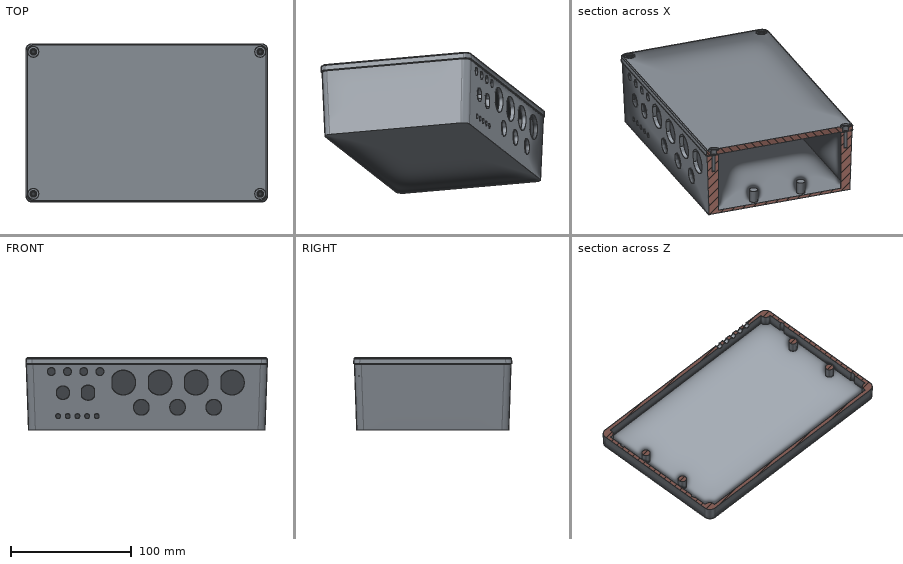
import cadquery as cq
import math

lid_length = 200.05
lid_width = 131.0
total_height = 60.0
draft_slope = math.tan(math.radians(2.0))
chamfer_slope = math.tan(math.radians(45.0))

lid_thickness = 5.0
lid_corner_radius = 5.0
lid_edge_chamfer = 1.0

gap_height = 0.5
gap_inset = 1.0

box_height = total_height - lid_thickness - gap_height
box_bottom_length = 195.9
box_bottom_width = 126.0
box_corner_radius = 5.75
wall = 3.5
floor_thickness = 3.0

screw_spacing_x = 187.8
screw_spacing_y = 117.6
counterbore_diameter = 9.0
counterbore_depth = 1.5
clearance_diameter = 5.5
pilot_diameter = 3.24
pilot_mouth_diameter = 4.76
pilot_depth = 15.0
post_diameter = 9.0

hole_rows = [
    dict(diameter=6.5, first_x=-79.1, height=48.4, pitch=13.45, count=4),
    dict(diameter=13.0, first_x=-4.5, height=18.8, pitch=30.0, count=3),
    dict(diameter=4.0, first_x=-73.4, height=11.5, pitch=8.0, count=5),
]

large_diameter = 20.5
large_flat_distance = 9.2
large_first_x = -19.45
large_height = 39.3
large_pitch = 30.0
large_count = 4

double_flat_width = 10.6
double_flat_height = 30.9
double_flat_holes = [(11.2, -69.4), (12.5, -48.6)]

groove_diameter = 5.0
groove_center_inset = 1.9
groove_y = 40.7

boss_diameter = 7.0
boss_height = 10.0
boss_x = 87.5
boss_y = 21.0


def widened(size, height, slope=draft_slope):
    """A length or width after its two sides lean outwards over the height."""
    return size + 2 * height * slope


def rounded_rectangle(size_x, size_y, radius, z):
    """A rectangle with rounded corners, lying at height z."""
    outline = cq.Sketch().rect(size_x, size_y).vertices().fillet(radius)
    return outline.moved(cq.Location((0, 0, z)))


def leaning_block(length, width, radius, bottom_z, height, slope):
    """A block with rounded corners whose four sides lean outwards by the slope."""
    low = rounded_rectangle(length, width, radius, bottom_z)
    top_length = widened(length, height, slope)
    top_width = widened(width, height, slope)
    high = rounded_rectangle(top_length, top_width, radius, bottom_z + height)
    return cq.Workplane().placeSketch(low, high).loft()


def four_points(spacing_x, spacing_y, z):
    """The corners of a centred rectangle at height z, ready for a shape on each."""
    plane = cq.Workplane().workplane(offset=z)
    return plane.rect(spacing_x, spacing_y, forConstruction=True).vertices()


def screw_cylinders(diameter, bottom_z, top_z):
    """Four upright cylinders, one on each corner screw."""
    points = four_points(screw_spacing_x, screw_spacing_y, bottom_z)
    return points.circle(diameter / 2).extrude(top_z - bottom_z)


def pilot_mouths():
    """Four cones that chamfer the pilot holes at the top of the box."""
    depth = (pilot_mouth_diameter - pilot_diameter) / 2
    cone = cq.Solid.makeCone(pilot_diameter / 2, pilot_mouth_diameter / 2, depth)
    points = four_points(screw_spacing_x, screw_spacing_y, box_height - depth)
    return points.eachpoint(lambda place: cone.moved(place))


def front_hole(x, z, diameter, left_flat=None, right_flat=None):
    """A cutter square to the leaning front wall, with a flat at each given distance from its centre."""
    face_y = -widened(box_bottom_width, z) / 2
    plane = cq.Plane((x, face_y, z), xDir=(1, 0, 0), normal=(0, 1, draft_slope))
    reach = 2 * wall
    cutter = cq.Workplane(plane).circle(diameter / 2).extrude(reach, both=True)
    left = left_flat or diameter / 2
    right = right_flat or diameter / 2
    between_flats = cq.Workplane(plane).center((right - left) / 2, 0).rect(left + right, diameter)
    return cutter.intersect(between_flats.extrude(reach, both=True))


def front_hole_cutters():
    cutters = []
    for row in hole_rows:
        for i in range(row["count"]):
            x = row["first_x"] + i * row["pitch"]
            cutters.append(front_hole(x, row["height"], row["diameter"]))
    for i in range(large_count):
        x = large_first_x + i * large_pitch
        cutters.append(front_hole(x, large_height, large_diameter, left_flat=large_flat_distance))
    for diameter, x in double_flat_holes:
        flat = double_flat_width / 2
        cutters.append(front_hole(x, double_flat_height, diameter, flat, flat))
    return cutters


def make_cavity():
    """The inside of the box, parallel to its outside and leaving a post round each corner screw."""
    cavity_height = box_height - floor_thickness
    cavity = leaning_block(
        widened(box_bottom_length, floor_thickness) - 2 * wall,
        widened(box_bottom_width, floor_thickness) - 2 * wall,
        box_corner_radius - wall,
        floor_thickness,
        cavity_height,
        draft_slope,
    )
    cavity = cavity.cut(screw_cylinders(post_diameter, floor_thickness, box_height))
    wall_spacing = widened(box_bottom_length, box_height / 2) - 2 * wall
    points = four_points(wall_spacing - 2 * groove_center_inset, 2 * groove_y, floor_thickness)
    grooves = points.circle(groove_diameter / 2).extrude(cavity_height)
    return cavity.union(grooves)


def make_box():
    box = leaning_block(box_bottom_length, box_bottom_width, box_corner_radius, 0, box_height, draft_slope)
    box = box.cut(make_cavity())
    bosses = four_points(2 * boss_x, 2 * boss_y, floor_thickness)
    box = box.union(bosses.circle(boss_diameter / 2).extrude(boss_height))
    box = box.cut(screw_cylinders(pilot_diameter, box_height - pilot_depth, box_height))
    box = box.cut(pilot_mouths())
    for cutter in front_hole_cutters():
        box = box.cut(cutter)
    return box


def make_lid():
    side_height = lid_thickness - lid_edge_chamfer
    lid_bottom = total_height - lid_thickness
    sides = leaning_block(lid_length, lid_width, lid_corner_radius, lid_bottom, side_height, -draft_slope)
    chamfer_band = leaning_block(
        widened(lid_length, side_height, -draft_slope),
        widened(lid_width, side_height, -draft_slope),
        lid_corner_radius,
        lid_bottom + side_height,
        lid_edge_chamfer,
        -chamfer_slope,
    )
    step_outline = rounded_rectangle(
        widened(box_bottom_length, box_height) - 2 * gap_inset,
        widened(box_bottom_width, box_height) - 2 * gap_inset,
        box_corner_radius - gap_inset,
        box_height,
    )
    step = cq.Workplane().placeSketch(step_outline).extrude(gap_height)
    lid = sides.union(chamfer_band).union(step)
    lid = lid.cut(screw_cylinders(clearance_diameter, box_height, total_height))
    return lid.cut(screw_cylinders(counterbore_diameter, total_height - counterbore_depth, total_height))


box = make_box()
lid = make_lid()
result = cq.Compound.makeCompound([box.solids().val(), lid.solids().val()])